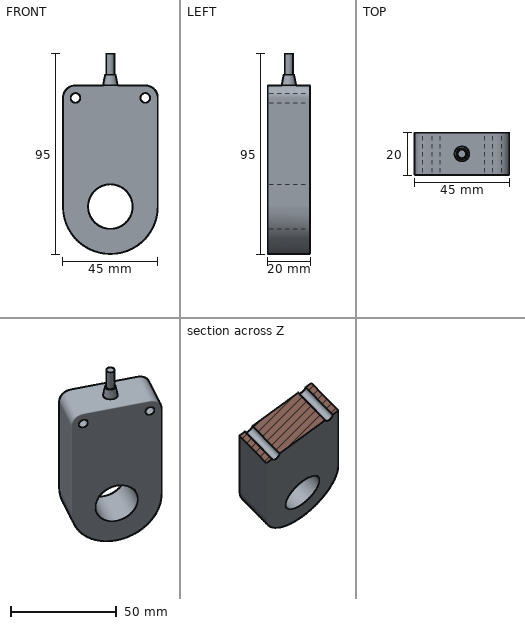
import cadquery as cq

total_height = 95.0
width = 45.0
thickness = 20.0
cable_exit_height = 15.0
corner_radius = 6.0
edge_fillet = 0.5

sensing_hole_diameter = 21.0
mounting_hole_diameter = 4.5

cable_diameter = 4.0
boot_base_diameter = 7.0
boot_tip_diameter = 5.0
boot_height = 5.0

end_radius = width / 2
top_z = total_height - cable_exit_height - end_radius
mounting_hole_x = width / 2 - corner_radius
mounting_hole_z = top_z - corner_radius


def make_housing():
    plate = (
        cq.Workplane("XZ")
        .moveTo(-end_radius, 0)
        .threePointArc((0, -end_radius), (end_radius, 0))
        .lineTo(end_radius, top_z)
        .lineTo(-end_radius, top_z)
        .close()
        .extrude(thickness / 2, both=True)
    )
    plate = plate.edges("|Y and >Z").fillet(corner_radius)
    return plate.faces("<Y or >Y").edges().fillet(edge_fillet)


def make_holes():
    front_plane = cq.Workplane("XZ", origin=(0, -thickness / 2, 0))
    sensing_hole = front_plane.circle(sensing_hole_diameter / 2).extrude(-thickness)
    mounting_holes = (
        front_plane.pushPoints([(side * mounting_hole_x, mounting_hole_z) for side in (-1, 1)])
        .circle(mounting_hole_diameter / 2)
        .extrude(-thickness)
    )
    return sensing_hole.union(mounting_holes)


def make_cable_exit():
    top_plane = cq.Workplane("XY").workplane(offset=top_z)
    boot = (
        top_plane.circle(boot_base_diameter / 2)
        .workplane(offset=boot_height)
        .circle(boot_tip_diameter / 2)
        .loft()
    )
    cable = top_plane.circle(cable_diameter / 2).extrude(cable_exit_height)
    return boot.union(cable)


result = make_housing().cut(make_holes()).union(make_cable_exit())